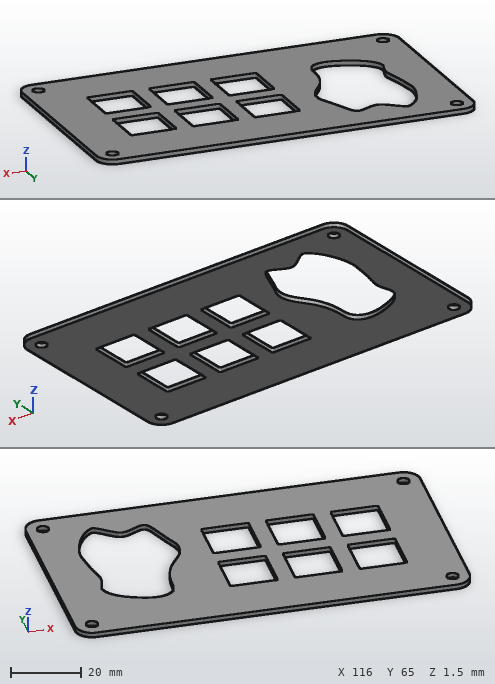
import cadquery as cq

plate_length = 116.0
plate_width = 65.0
plate_thickness = 1.5
corner_radius = 5.0

mount_hole_diameter = 3.4
mount_spacing_x = plate_length - 2 * corner_radius
mount_spacing_y = plate_width - 2 * corner_radius

switch_size = 13.9
switch_corner_radius = 0.5
switch_pitch = 19.0
switch_columns = 3
switch_rows = 2
switch_grid_center = (16.5, -0.5)

window_points = [
    (-38.7, 24.2),
    (-35.0, 21.6),
    (-31.8, 20.0),
    (-28.4, 21.0),
    (-24.4, 22.3),
    (-22.4, 19.3),
    (-20.3, 14.0),
    (-18.2, 8.7),
    (-18.3, 6.1),
    (-22.7, -1.5),
    (-24.6, -6.1),
    (-25.2, -11.1),
    (-25.9, -15.1),
    (-28.1, -16.9),
    (-31.4, -17.5),
    (-37.4, -16.1),
    (-44.1, -11.8),
    (-45.2, -9.3),
    (-44.5, -6.1),
    (-44.1, -3.8),
    (-44.8, 0.0),
    (-45.9, 5.9),
    (-46.4, 9.4),
    (-45.7, 14.8),
    (-43.6, 20.0),
    (-41.3, 23.0),
]


def make_plate():
    """Flat plate with rounded corners, resting on Z = 0."""
    plate = cq.Workplane("XY").rect(plate_length, plate_width).extrude(plate_thickness)
    return plate.edges("|Z").fillet(corner_radius)


def make_mount_holes():
    """Cylinders that cut one hole at each corner."""
    centers = cq.Workplane("XY").rect(mount_spacing_x, mount_spacing_y, forConstruction=True).vertices()
    return centers.circle(mount_hole_diameter / 2).extrude(plate_thickness)


def make_switch_cutouts():
    """Round-cornered square blocks that cut the switch grid."""
    grid = (
        cq.Workplane("XY")
        .center(*switch_grid_center)
        .rarray(switch_pitch, switch_pitch, switch_columns, switch_rows)
    )
    blocks = grid.rect(switch_size, switch_size).extrude(plate_thickness)
    return blocks.edges("|Z").fillet(switch_corner_radius)


def make_window():
    """Block bounded by a smooth closed curve that cuts the freeform window."""
    return cq.Workplane("XY").spline(window_points, periodic=True).close().extrude(plate_thickness)


result = (
    make_plate()
    .cut(make_mount_holes())
    .cut(make_switch_cutouts())
    .cut(make_window())
)